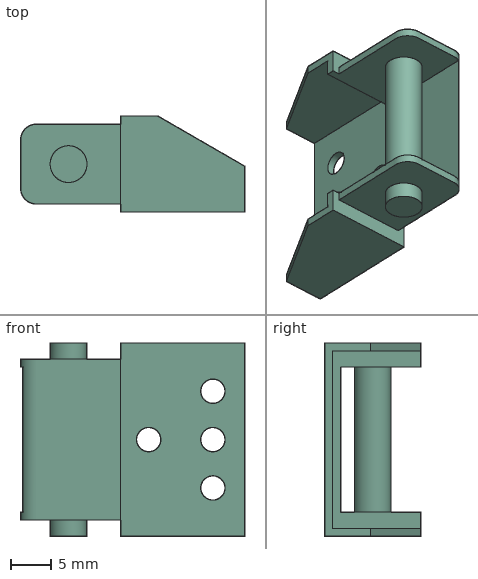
import cadquery as cq
import math

length = 28.0
depth = 12.0
height = 24.15

sheet = 1.0
bracket_height = 20.1
bracket_depth = depth - 2 * sheet
corner_radius = 2.0

block_start = 12.5
block_length = length - block_start
slope_start = 17.15
slope_angle = 30.0
opening_height = bracket_height - 2 * sheet
slope_drop = (length - slope_start) * math.tan(math.radians(slope_angle))

pin_x = 6.0
pin_diameter = 4.6

hole_diameter = 3.0
near_hole_x = 16.0
hole_column_x = 24.0
hole_pitch = height / 4


def make_block():
    profile = [
        (block_start, 0),
        (length, 0),
        (length, depth - slope_drop),
        (slope_start, depth),
        (block_start, depth),
    ]
    body = cq.Workplane("XY").polyline(profile).close().extrude(height / 2, both=True)
    cavity = cq.Workplane("XY").box(
        block_length, depth, height - 2 * sheet, centered=(False, False, True)
    ).translate((block_start + sheet, sheet, 0))
    end_opening = cq.Workplane("XY").box(
        2 * sheet, depth, opening_height, centered=(False, False, True)
    ).translate((block_start, 2 * sheet, 0))
    return body.cut(cavity).cut(end_opening)


def make_bracket():
    body = cq.Workplane("XY").box(
        block_start, bracket_depth, bracket_height, centered=(False, False, True)
    )
    body = body.edges("|Z and <X").fillet(corner_radius)
    opening = cq.Workplane("XY").box(
        block_start, bracket_depth, opening_height, centered=(False, False, True)
    ).translate((0, sheet, 0))
    return body.cut(opening).translate((0, sheet, 0))


def make_pin():
    base = cq.Workplane("XY", origin=(pin_x, depth / 2, -height / 2))
    return base.circle(pin_diameter / 2).extrude(height)


def make_mounting_holes():
    centers = [(near_hole_x, 0)]
    for row in (-1, 0, 1):
        centers.append((hole_column_x, row * hole_pitch))
    holes = cq.Workplane("XZ").pushPoints(centers).circle(hole_diameter / 2)
    return holes.extrude(-depth)


result = make_block().union(make_bracket()).union(make_pin()).cut(make_mounting_holes())